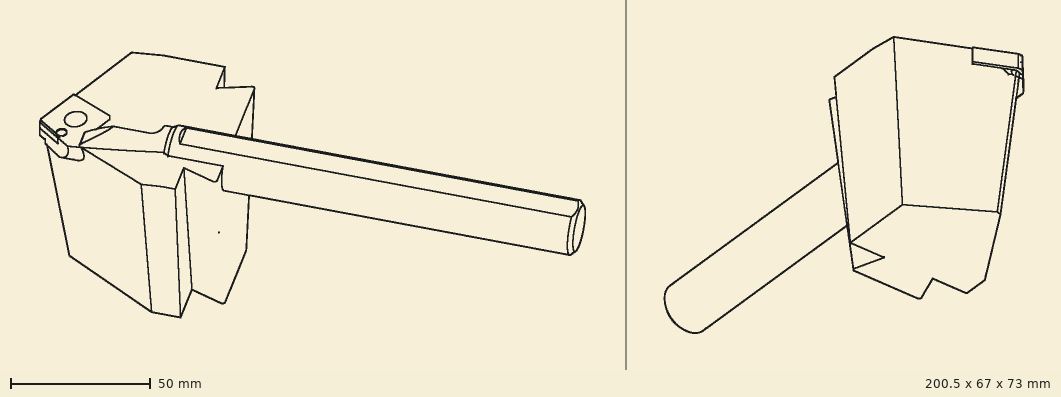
import cadquery as cq
import math

OVERSIZE = 120.2

BLOCK_TOP = 68.7
BLOCK_MID_Y = 9.0
BLOCK_WIDTH = 67.0
SIDE_DRAFT = 6.0
NOSE_ANGLE = 60.0
NOSE_X = -0.6
NOSE_Y = 1.8
NOSE_CHAMFER = 1.5
SHOULDER_X = 57.5
DOVETAIL_END_X = 70.7
DOVETAIL_ROOT_WIDTH = 43.7
DOVETAIL_END_WIDTH = 53.0
DOVETAIL_ROUND = 1.0
DOVETAIL_DRAFT = 9.0

FOLD_X = 34.7
FOLD_ANGLE = 15.0
SLOPE_ANGLE = 6.5

BAR_LENGTH = 200.5
SHANK_DIAMETER = 20.0
NECK_DIAMETER = 18.0
TOTAL_HEIGHT = 73.0
AXIS_Z = TOTAL_HEIGHT - SHANK_DIAMETER / 2
NECK_END_X = 48.5
SHANK_START_X = 50.3
END_CHAMFER = 1.6
FLAT_HEIGHT = 9.0
FLAT_START_X = 53.7
FLAT_RUNOUT = 1.0
POCKET_EDGE_Y = -1.6
POCKET_END_X = 45.5
POCKET_ROUND = 4.0
SCOOP_HIGH_X = 28.7
SCOOP_LOW_X = 17.6
SCOOP_LOW_Z = 66.3
SCOOP_SAG = 0.5
HEAD_BOTTOM_Z = 56.0
HEAD_LEFT_X = 2.6
HEAD_REACH = 16.0

END_FACE_ANGLE = 39.0
EDGE_Y = 2.0
EDGE_FLAT = 1.8
LUG_LENGTH = 16.5
LUG_WIDTH = 19.6
LUG_CORNER = 1.2
LUG_RIGHT_EDGE = 25.0
LUG_THICKNESS = 6.2
SCREW_DIAMETER = 8.0
SCREW_X = 12.5
SCREW_Y = 5.5
TIP_RUN_X = 8.6
TIP_WIDTH = 0.9
TIP_THICKNESS = 2.8
DIMPLE_DIAMETER = 3.8
DIMPLE_X = 9.2
DIMPLE_Y = -2.0
DIMPLE_DEPTH = 0.5


def heading(degrees):
    """Unit step in the XY plane at an angle from +X."""
    angle = math.radians(degrees)
    return math.cos(angle), math.sin(angle)


def step(point, direction, distance):
    return point[0] + direction[0] * distance, point[1] + direction[1] * distance


ALONG_LEFT = heading(NOSE_ANGLE)
ALONG_LOWER = heading(NOSE_ANGLE - 90)
ALONG_END = heading(-END_FACE_ANGLE)
INTO_HEAD = heading(90 - END_FACE_ANGLE)


def slope_slab(upper, lower):
    """Slab parallel to the sloping top, between two heights measured from it."""
    fall = math.radians(SLOPE_ANGLE)
    downhill = heading(180 + FOLD_ANGLE)
    normal = (math.sin(fall) * downhill[0], math.sin(fall) * downhill[1], math.cos(fall))
    origin = (FOLD_X, BLOCK_MID_Y + BLOCK_WIDTH / 2, BLOCK_TOP)
    plane = cq.Plane(origin=origin, xDir=(-downhill[1], downhill[0], 0), normal=normal)
    return (cq.Workplane(plane).workplane(offset=lower)
            .rect(2 * OVERSIZE, 2 * OVERSIZE).extrude(upper - lower))


def upright_prism(points):
    return cq.Workplane("XY").polyline(points).close().extrude(OVERSIZE)


def nose_outline(z, extra=0.0):
    """Block outline ahead of the dovetail; extra pushes the lower nose face outward."""
    inset = (BLOCK_TOP - z) * math.tan(math.radians(SIDE_DRAFT))
    half = BLOCK_WIDTH / 2 + extra - inset
    high_y = BLOCK_MID_Y + half
    low_y = BLOCK_MID_Y - half
    corner = step((NOSE_X, NOSE_Y), ALONG_LOWER, inset)
    corner = step(corner, ALONG_LEFT, inset - extra)
    left_run = (high_y - corner[1]) / ALONG_LEFT[1]
    lower_run = (low_y - corner[1]) / ALONG_LOWER[1]
    return [
        step(corner, ALONG_LEFT, NOSE_CHAMFER),
        step(corner, ALONG_LEFT, left_run),
        (SHOULDER_X, high_y),
        (SHOULDER_X, low_y),
        step(corner, ALONG_LOWER, lower_run),
        step(corner, ALONG_LOWER, NOSE_CHAMFER),
    ]


def drafted_nose(top_z, extra=0.0):
    return (cq.Workplane("XY").polyline(nose_outline(0, extra)).close()
            .workplane(offset=top_z).polyline(nose_outline(top_z, extra)).close()
            .loft(ruled=True))


EDGE_LOW = (0.0, EDGE_Y)
EDGE_HIGH = (0.0, EDGE_Y + EDGE_FLAT)


def make_lug():
    back = step(EDGE_HIGH, ALONG_LEFT, LUG_LENGTH)
    far = step(back, ALONG_LOWER, LUG_WIDTH)
    points = [
        EDGE_LOW,
        EDGE_HIGH,
        back,
        step(far, ALONG_LOWER, -LUG_CORNER),
        step(far, ALONG_LEFT, -LUG_CORNER),
        step(far, ALONG_LEFT, -LUG_RIGHT_EDGE / 2),
        step(EDGE_LOW, ALONG_END, LUG_RIGHT_EDGE / 2),
    ]
    return upright_prism(points).intersect(slope_slab(0, -LUG_THICKNESS))


def make_screw():
    post = cq.Workplane("XY").center(SCREW_X, SCREW_Y).circle(SCREW_DIAMETER / 2).extrude(OVERSIZE)
    return post.intersect(slope_slab(0, -LUG_THICKNESS))


def make_tip():
    run_out = step(EDGE_LOW, ALONG_END, TIP_RUN_X / ALONG_END[0])
    points = [
        EDGE_LOW,
        run_out,
        step(run_out, INTO_HEAD, TIP_WIDTH),
        step(EDGE_LOW, INTO_HEAD, TIP_WIDTH),
    ]
    return upright_prism(points).intersect(slope_slab(0, -TIP_THICKNESS))


def make_dimple():
    post = cq.Workplane("XY").center(DIMPLE_X, DIMPLE_Y).circle(DIMPLE_DIAMETER / 2).extrude(OVERSIZE)
    return post.intersect(slope_slab(OVERSIZE, -DIMPLE_DEPTH))


def make_turned_bar():
    neck_radius = NECK_DIAMETER / 2
    shank_radius = SHANK_DIAMETER / 2
    profile = [
        (0, 0),
        (0, neck_radius),
        (NECK_END_X, neck_radius),
        (SHANK_START_X, shank_radius),
        (BAR_LENGTH - END_CHAMFER, shank_radius),
        (BAR_LENGTH, shank_radius - END_CHAMFER),
        (BAR_LENGTH, 0),
    ]
    turned = cq.Workplane("XZ").polyline(profile).close().revolve(360, (0, 0, 0), (1, 0, 0))
    return turned.translate((0, 0, AXIS_Z))


def make_shank_flat():
    flat_z = AXIS_Z + FLAT_HEIGHT
    points = [
        (FLAT_START_X, flat_z),
        (BAR_LENGTH, flat_z),
        (BAR_LENGTH, TOTAL_HEIGHT),
        (FLAT_START_X - FLAT_RUNOUT, TOTAL_HEIGHT),
    ]
    return cq.Workplane("XZ").polyline(points).close().extrude(SHANK_DIAMETER / 2, both=True)


def make_chip_pocket():
    """Room beside the head, closed by a rounded corner at its far end."""
    pocket = (cq.Workplane("XY")
              .moveTo(-OVERSIZE, POCKET_EDGE_Y)
              .lineTo(POCKET_END_X - POCKET_ROUND, POCKET_EDGE_Y)
              .radiusArc((POCKET_END_X, POCKET_EDGE_Y + POCKET_ROUND), -POCKET_ROUND)
              .lineTo(POCKET_END_X, OVERSIZE)
              .lineTo(-OVERSIZE, OVERSIZE)
              .close().extrude(OVERSIZE))
    return pocket.intersect(slope_slab(OVERSIZE, -LUG_THICKNESS))


def make_scoop():
    """Concave ramp from the neck down to the sloping face of the head."""
    return (cq.Workplane("XZ")
            .moveTo(SCOOP_LOW_X, SCOOP_LOW_Z)
            .sagittaArc((SCOOP_HIGH_X, AXIS_Z + NECK_DIAMETER / 2), SCOOP_SAG)
            .lineTo(SCOOP_HIGH_X, OVERSIZE)
            .lineTo(SCOOP_LOW_X, OVERSIZE)
            .close().extrude(NECK_DIAMETER, both=True))


def make_head_trim():
    """Everything of the head beyond its end face, top, left face and underside."""
    front_zone = cq.Workplane("XY").box(
        SCOOP_LOW_X + OVERSIZE, 2 * OVERSIZE, OVERSIZE, centered=(False, True, False)
    ).translate((-OVERSIZE, 0, 0))
    end_points = [
        step(EDGE_LOW, ALONG_END, -OVERSIZE),
        step(EDGE_LOW, ALONG_END, OVERSIZE),
        step(step(EDGE_LOW, ALONG_END, OVERSIZE), INTO_HEAD, -OVERSIZE),
        step(step(EDGE_LOW, ALONG_END, -OVERSIZE), INTO_HEAD, -OVERSIZE),
    ]
    underside = cq.Workplane("XY").rect(2 * OVERSIZE, 2 * OVERSIZE).extrude(HEAD_BOTTOM_Z)
    left_end = cq.Workplane("XY").box(
        OVERSIZE, 2 * OVERSIZE, OVERSIZE, centered=(False, True, False)
    ).translate((HEAD_LEFT_X - OVERSIZE, 0, 0))
    outside = front_zone.cut(drafted_nose(TOTAL_HEIGHT, HEAD_REACH))
    return [
        front_zone.intersect(slope_slab(OVERSIZE, 0)),
        front_zone.intersect(underside),
        upright_prism(end_points),
        left_end,
        outside,
    ]


def make_bar():
    body = make_turned_bar().cut(make_shank_flat()).cut(make_chip_pocket()).cut(make_scoop())
    for trim in make_head_trim():
        body = body.cut(trim)
    return body.union(make_lug())


def dovetail_outline(z):
    inset = (BLOCK_TOP - z) * math.tan(math.radians(DOVETAIL_DRAFT))
    root = DOVETAIL_ROOT_WIDTH / 2 - inset
    end = DOVETAIL_END_WIDTH / 2 - inset
    return [
        (SHOULDER_X, BLOCK_MID_Y - root),
        (DOVETAIL_END_X, BLOCK_MID_Y - end),
        (DOVETAIL_END_X, BLOCK_MID_Y + end),
        (SHOULDER_X, BLOCK_MID_Y + root),
    ]


def make_dovetail():
    """Dovetail whose flanks lean inward towards the bottom."""
    tail = (cq.Workplane("XY").polyline(dovetail_outline(0)).close()
            .workplane(offset=BLOCK_TOP).polyline(dovetail_outline(BLOCK_TOP)).close()
            .loft(ruled=True))
    return tail.faces(">X").edges("not #Z").fillet(DOVETAIL_ROUND)


def make_block():
    body = drafted_nose(BLOCK_TOP).union(make_dovetail())
    return body.cut(slope_slab(OVERSIZE, 0))


screw = make_screw()
tip = make_tip()
dimple = make_dimple()
bar = make_bar().cut(screw).cut(tip).cut(dimple)
block = make_block().cut(bar).cut(screw).cut(tip).cut(dimple)

result = cq.Compound.makeCompound([block.val(), bar.val(), screw.val(), tip.val()])